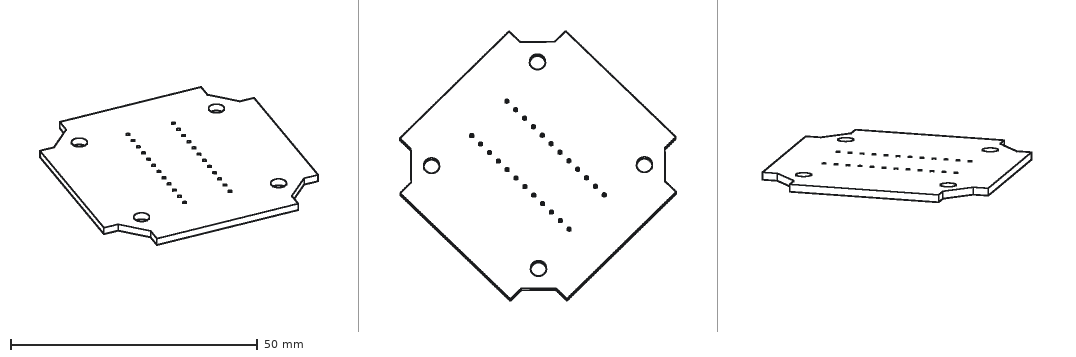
import cadquery as cq

side = 47.8
thickness = 1.6

tab_width = 31.55
step_length = 3.15

mount_diameter = 3.2
mount_spacing = 30.6

pin_diameter = 0.7
pin_pitch = 2.55
pins_per_row = 12
row_count = 2
row_spacing = 4 * pin_pitch


def corner_cut(sign_x, sign_y):
    """Solid removed from one corner of the board."""
    outer = side / 2
    inner = tab_width / 2
    step_end = outer - step_length
    outline = [
        (outer, inner),
        (step_end, inner),
        (inner, step_end),
        (inner, outer),
        (outer, outer),
    ]
    points = [(sign_x * x, sign_y * y) for x, y in outline]
    return cq.Workplane("XY").polyline(points).close().extrude(thickness)


board = cq.Workplane("XY").box(side, side, thickness, centered=(True, True, False))

for sign_x in (-1, 1):
    for sign_y in (-1, 1):
        board = board.cut(corner_cut(sign_x, sign_y))

mount_holes = (
    cq.Workplane("XY")
    .rarray(mount_spacing, mount_spacing, 2, 2)
    .circle(mount_diameter / 2)
    .extrude(thickness)
)

pin_holes = (
    cq.Workplane("XY")
    .rarray(pin_pitch, row_spacing, pins_per_row, row_count)
    .circle(pin_diameter / 2)
    .extrude(thickness)
)

result = board.cut(mount_holes).cut(pin_holes)